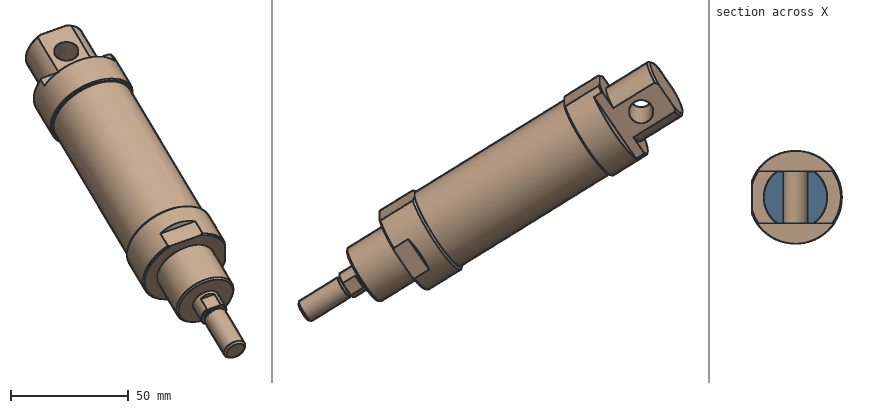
import cadquery as cq
import math

TOTAL_LENGTH = 184.0
REAR_CAP_START = 21.9
REAR_STEP = 26.1
TUBE_START = 40.0
TUBE_END = 115.7
HEAD_FLAT_START = 125.7
HEAD_END = 133.5
NOSE_END = 153.8
COLLAR_FLAT_START = 155.8
COLLAR_END = 162.3
THREAD_START = 163.5

CAP_DIAMETER = 39.5
TUBE_DIAMETER = 37.0
CLEVIS_DIAMETER = 27.0
CLEVIS_THICKNESS = 22.0
PIN_HOLE_DIAMETER = 10.3
PIN_HOLE_X = 12.9
NOSE_DIAMETER = 26.9
HEAD_ACROSS_FLATS = 36.0
COLLAR_DIAMETER = 12.0
COLLAR_ACROSS_FLATS = 10.1
NECK_DIAMETER = 8.8
THREAD_DIAMETER = 10.1

FLAT_WALL_ANGLE = math.radians(30)

CLEVIS_CHAMFER = 1.0
CAP_CHAMFER = 0.5
HEAD_INNER_CHAMFER = 1.0
NOSE_CHAMFER = 0.7
COLLAR_CHAMFER = 0.28
THREAD_CHAMFER = 1.0


def turned(start, end, diameter, start_chamfer=0, end_chamfer=0):
    """Cylinder about the X axis between two stations, with optional rim chamfers."""
    body = cq.Workplane("YZ").workplane(offset=start).circle(diameter / 2).extrude(end - start)
    if start_chamfer:
        body = body.faces("<X").edges().chamfer(start_chamfer)
    if end_chamfer:
        body = body.faces(">X").edges().chamfer(end_chamfer)
    return body


def cut_flats(body, start, end, across_flats, diameter, wall_angle=0):
    """Cut flats facing +Z and -Z; wall_angle leans the wall of each flat away from it."""
    half = across_flats / 2
    depth = diameter / 2 - half
    lean = depth * math.tan(wall_angle)
    upper = (
        cq.Workplane("XZ")
        .polyline([(start, half), (end, half), (end, half + depth), (start - lean, half + depth)])
        .close()
        .extrude(diameter / 2, both=True)
    )
    return body.cut(upper).cut(upper.mirror("XY"))


def cut_side_flat(cap):
    """Flatten the +Y side of a cap level with the tube."""
    depth = (CAP_DIAMETER - TUBE_DIAMETER) / 2
    waste = cq.Workplane("XY").box(TOTAL_LENGTH, depth, CAP_DIAMETER, centered=(False, False, True))
    return cap.cut(waste.translate((0, TUBE_DIAMETER / 2, 0)))


def make_rear_cap():
    """Rear cap with a flat-sided clevis lug and a vertical pin hole."""
    cap = turned(REAR_CAP_START, TUBE_START, CAP_DIAMETER, CAP_CHAMFER, CAP_CHAMFER)
    lug = turned(0, REAR_CAP_START, CLEVIS_DIAMETER, start_chamfer=CLEVIS_CHAMFER)
    cap = cut_flats(cut_side_flat(cap).union(lug), REAR_STEP, 0, CLEVIS_THICKNESS, CAP_DIAMETER)
    pin_hole = (
        cq.Workplane("XY")
        .center(PIN_HOLE_X, 0)
        .circle(PIN_HOLE_DIAMETER / 2)
        .extrude(CLEVIS_THICKNESS, both=True)
    )
    return cap.cut(pin_hole)


def make_tube():
    """Plain round cylinder body between the two caps."""
    return turned(TUBE_START, TUBE_END, TUBE_DIAMETER)


def make_head():
    """Head cap with wrench flats and a round nose."""
    cap = turned(TUBE_END, HEAD_END, CAP_DIAMETER, HEAD_INNER_CHAMFER, CAP_CHAMFER)
    cap = cut_side_flat(cap)
    cap = cut_flats(cap, HEAD_FLAT_START, HEAD_END, HEAD_ACROSS_FLATS, CAP_DIAMETER, FLAT_WALL_ANGLE)
    nose = turned(HEAD_END, NOSE_END, NOSE_DIAMETER, end_chamfer=NOSE_CHAMFER)
    return cap.union(nose)


def make_rod():
    """Rod end: collar with wrench flats, undercut neck and threaded shank."""
    collar = turned(NOSE_END, COLLAR_END, COLLAR_DIAMETER, end_chamfer=COLLAR_CHAMFER)
    collar = cut_flats(
        collar, COLLAR_FLAT_START, COLLAR_END, COLLAR_ACROSS_FLATS, COLLAR_DIAMETER, FLAT_WALL_ANGLE
    )
    neck = turned(COLLAR_END, THREAD_START, NECK_DIAMETER)
    shank = turned(THREAD_START, TOTAL_LENGTH, THREAD_DIAMETER, end_chamfer=THREAD_CHAMFER)
    return collar.union(neck).union(shank)


rear_cap = make_rear_cap()
tube = make_tube()
head = make_head()
rod = make_rod()

result = cq.Compound.makeCompound([rear_cap.val(), tube.val(), head.val(), rod.val()])